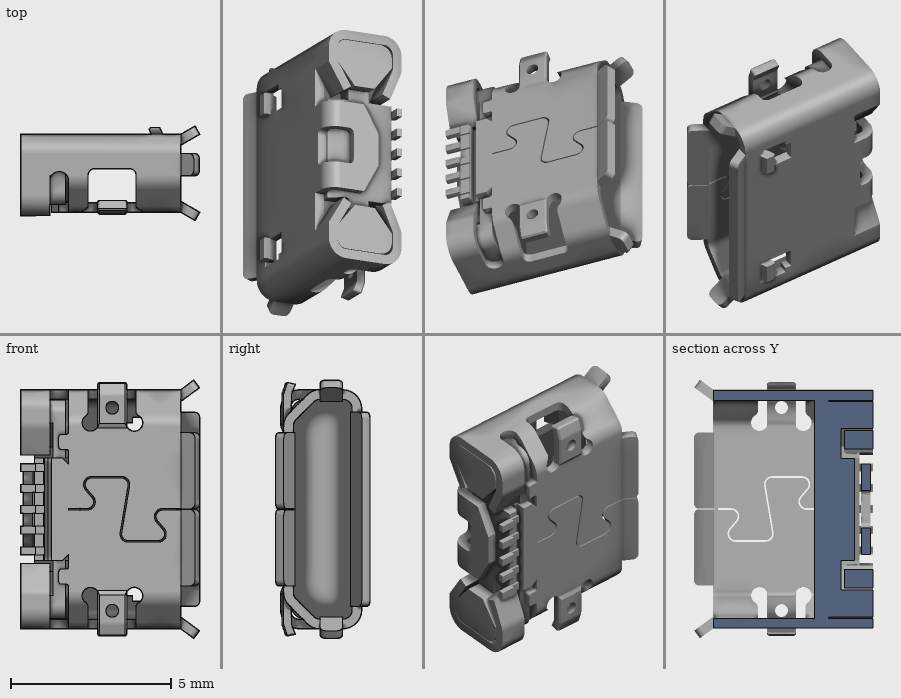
import cadquery as cq
import math


SHEET = 0.3
SHELL_LENGTH = 5.0
SHELL_DEPTH = 2.44
HALF_WIDTH = 3.735
BEVEL = 0.9
SHELL_RADIUS = 0.6
OVERSHOOT = 1.0

HOOK_LENGTH = 0.91
HOOK_FACE_Y = -0.1
HOOK_FRONT_BEND_Z = 2.6
HOOK_BACK_BEND_Z = 2.63
HOOK_FRONT_ANGLE = 23.3
HOOK_BACK_ANGLE = 31.0
HOOK_BEND_RADIUS = 0.5
HOOK_FRONT_TIP = (0.29, 1.69)
HOOK_BACK_TIP = (1.92, 1.755)
HOOK_TIP_CUT = 1.2 * SHEET

WALL_START = 1.5
WALL_TAB_LENGTH = 0.31
WALL_TAB_Z = (1.87, 2.34)
WALL_TAB_CORNER = 0.08
SIDE_SLOT_CORNER = 0.29
SIDE_SLOT_TOP = 1.27
WINDOW_START = 2.11
WINDOW_END = 3.6
WINDOW_TOP = 1.36
WINDOW_CORNER = 0.2
WINDOW_NECK_Z = 3.02
RELIEF_RADIUS = 0.26
RELIEF_Z = 2.7
RELIEF_X = (2.18, 3.55)
SEAM_GAP = 0.05
SEAM_CENTER_X = 3.255
SEAM_RADIUS = 0.23
SEAM_NECK = 0.68
SEAM_HEAD = 1.535
SEAM_LEAN = 0.168
SEAM_HEIGHT = 1.0

LEG_CENTER_X = 2.86
LEG_WIDTH = 0.91
LEG_FACE_Y = -0.06
LEG_ROOT_Z = 2.67
LEG_ROOT_SLOPE = 0.13
LEG_BEND_Z = 3.58
LEG_BEND_RADIUS = 0.3
LEG_TIP_Z = 3.97
LEG_TIP_CORNER = 0.08
LEG_TIP_LIFT = 0.13
LEG_HOLE_RADIUS = 0.2
LEG_HOLE_Z = 3.17
LEG_EDGE = 0.05

LATCH_Z = (2.03, 2.7)
LATCH_WINDOW_START = 3.3
LATCH_ROOT = 4.44
LATCH_TIP = 4.01
LATCH_RISE = 0.215
LATCH_SLANT = 0.1
LATCH_NOSE = 0.06
LATCH_WIDE_START = 3.5
LATCH_WIDE_Z = 2.87

LIP_LENGTH = 0.515
LIP_ANGLE = 30.0
SIDE_LIP_LENGTH = 0.505
SIDE_LIP_ANGLE = 36.5
LIP_CORNER = 0.18
BACK_LIP_HALF = 3.03
FRONT_LIP_START = 0.01
FRONT_LIP_END = 2.39
SIDE_LIP_CENTER_Y = 1.49
SIDE_LIP_WIDTH = 0.7

TAB_X = 0.08
TAB_HALF = 1.42
TAB_SHOULDER_Y = 1.17
TAB_END_Y = 0.67
TAB_END_HALF = 0.52
TAB_BEND_RADIUS = 0.47
TAB_SLOT_HALF = 0.58
TAB_SLOT_END = 0.75
TAB_SLOT_Y = 1.53
TAB_SLOT_CORNER = 0.15
BACK_WALL_START = 0.95

PLUG_END = 1.4
PLUG_FRONT_Y = 0.24
PLUG_RADIUS = 0.4
PLUG_CLEARANCE = 0.02
PLUG_WAIST_Z = 1.95
PLUG_WAIST_Y = (0.84, 1.53)
PLUG_TAPER_Z = 2.7
PLUG_STEP = 0.1
CORE_START = 0.43
CORE_END = 1.85
CORE_HALF = 1.6
CORE_FRONT_Y = 0.04
BLOCK_START = 0.96
PIN_SHANK_END = 0.75
TRENCH_STEPS = ((0.71, PIN_SHANK_END, 0.1), (PIN_SHANK_END, 0.85, 0.4), (0.85, BLOCK_START, 0.3))
REAR_CHAMFER = (0.25, 0.41)
BLOCK_NOTCH = 0.19
PIN_COUNT = 5
PIN_PITCH = 0.65
PIN_WIDTH = 0.25
PIN_LENGTH = 0.46
PIN_FACE_Y = -0.12
PIN_TOP_Y = 0.05
PIN_SHANK_Y = -0.02


def rounded_outline(plane, corners):
    """Closed outline through (u, v, radius) corners; each radius becomes a tangent arc."""
    steps = []
    for i, (u, v, radius) in enumerate(corners):
        here = cq.Vector(u, v, 0)
        before = cq.Vector(*corners[i - 1][:2], 0)
        after = cq.Vector(*corners[(i + 1) % len(corners)][:2], 0)
        to_before = (before - here).normalized()
        to_after = (after - here).normalized()
        half_angle = to_before.getAngle(to_after) / 2
        if radius == 0:
            steps.append((here, None, here))
            continue
        reach = radius / math.tan(half_angle)
        bisector = (to_before + to_after).normalized()
        middle = here + bisector * (radius / math.sin(half_angle) - radius)
        steps.append((here + to_before * reach, middle, here + to_after * reach))
    outline = cq.Workplane(plane).moveTo(*steps[0][2].toTuple()[:2])
    for start, middle, end in steps[1:] + steps[:1]:
        outline = outline.lineTo(*start.toTuple()[:2])
        if middle is not None:
            outline = outline.threePointArc(middle.toTuple()[:2], end.toTuple()[:2])
    return outline.close()


def block(x0, x1, y0, y1, z0, z1):
    return cq.Workplane("XY").box(x1 - x0, y1 - y0, z1 - z0, centered=False).translate((x0, y0, z0))


def both_ends(solid):
    """The solid together with its mirror image across Z = 0."""
    return solid.union(solid.mirror("XY"))


def shell_profile():
    half = [
        (0, HALF_WIDTH - BEVEL, SHELL_RADIUS),
        (BEVEL, HALF_WIDTH, SHELL_RADIUS),
        (SHELL_DEPTH, HALF_WIDTH, SHELL_RADIUS),
    ]
    return rounded_outline("YZ", half + [(y, -z, r) for y, z, r in reversed(half)])


def shell_filling(x0, x1):
    """Solid that fills the inside of the shell between two X positions."""
    return shell_profile().offset2D(-SHEET).extrude(x1 - x0).translate((x0, 0, 0))


def shell_tube():
    length = SHELL_LENGTH - HOOK_LENGTH
    tube = shell_profile().extrude(length).translate((HOOK_LENGTH, 0, 0))
    return tube.cut(shell_filling(HOOK_LENGTH, SHELL_LENGTH))


def rear_opening():
    """Removes the board-side wall behind WALL_START and leaves a round-ended slot in each side."""
    span = 2 * (HALF_WIDTH + OVERSHOOT)
    slot = block(HOOK_LENGTH, WALL_START, -OVERSHOOT, SIDE_SLOT_TOP, -span / 2, span / 2)
    slot = slot.edges("|Z and >Y").fillet(SIDE_SLOT_CORNER)
    wall = SHELL_DEPTH - SHEET
    back_gap = block(0, BACK_WALL_START, wall, SHELL_DEPTH, -HOOK_BACK_BEND_Z, HOOK_BACK_BEND_Z)
    return slot.union(back_gap)


def wall_tab():
    """Small locating tab on the rear edge of the board-side wall, blended into that edge."""
    start = WALL_START - WALL_TAB_LENGTH
    root = WALL_START + WALL_TAB_CORNER
    low, high = WALL_TAB_Z
    corners = [
        (root, low - 2 * WALL_TAB_CORNER, 0),
        (WALL_START, low - 2 * WALL_TAB_CORNER, 0),
        (WALL_START, low, WALL_TAB_CORNER),
        (start, low, WALL_TAB_CORNER),
        (start, high, WALL_TAB_CORNER),
        (WALL_START, high, WALL_TAB_CORNER),
        (WALL_START, high + 2 * WALL_TAB_CORNER, 0),
        (root, high + 2 * WALL_TAB_CORNER, 0),
    ]
    return rounded_outline("XZ", corners).extrude(-SHEET)


def leg_window():
    """Side window through bevel and side wall, narrowing out into round reliefs beside the leg."""
    window = block(WINDOW_START, WINDOW_END, -OVERSHOOT, WINDOW_TOP, WINDOW_NECK_Z, HALF_WIDTH + OVERSHOOT)
    window = window.edges("|Z and >Y").fillet(WINDOW_CORNER)
    neck = cq.Workplane("XZ").polyline([
        (WINDOW_START, WINDOW_NECK_Z),
        (RELIEF_X[0] - RELIEF_RADIUS, RELIEF_Z),
        (RELIEF_X[1] + RELIEF_RADIUS, RELIEF_Z),
        (WINDOW_END, WINDOW_NECK_Z),
    ]).close().extrude(-BEVEL)
    reliefs = cq.Workplane("XZ").pushPoints([(x, RELIEF_Z) for x in RELIEF_X])
    return window.union(neck).union(reliefs.circle(RELIEF_RADIUS).extrude(-2 * SHEET))


def leg():
    """Soldering leg: offset foot with a hole, tip bent away from the board, outer edges broken."""
    foot_top = LEG_FACE_Y + SHEET
    tip_y = LEG_FACE_Y + LEG_TIP_LIFT
    profile = [
        (LEG_FACE_Y, LEG_ROOT_Z, 0),
        (LEG_FACE_Y, LEG_BEND_Z, LEG_BEND_RADIUS),
        (tip_y, LEG_TIP_Z, 0),
        (tip_y + SHEET, LEG_TIP_Z - LEG_TIP_LIFT / 2, 0),
        (foot_top, LEG_BEND_Z, 0),
        (foot_top, LEG_ROOT_Z - SHEET, 0),
        (0, LEG_ROOT_Z - SHEET, 0),
        (0, LEG_ROOT_Z - LEG_ROOT_SLOPE, 0),
    ]
    body = rounded_outline("YZ", profile).extrude(LEG_WIDTH)
    body = body.translate((LEG_CENTER_X - LEG_WIDTH / 2, 0, 0))
    tip_corners = body.faces(">Z").edges("not |X")
    body = tip_corners.fillet(LEG_TIP_CORNER)
    outer_rim = cq.selectors.BoxSelector(
        (0, LEG_FACE_Y - LEG_EDGE, LEG_ROOT_Z + LEG_EDGE),
        (SHELL_LENGTH, tip_y + LEG_EDGE, LEG_TIP_Z + LEG_EDGE),
    )
    body = body.edges(outer_rim).chamfer(LEG_EDGE)
    hole = cq.Workplane("XZ").center(LEG_CENTER_X, LEG_HOLE_Z).circle(LEG_HOLE_RADIUS)
    return body.cut(hole.extrude(OVERSHOOT, both=True))


def seam():
    """Dovetail joint line where the two edges of the folded sheet meet."""
    first_half = [
        (SEAM_CENTER_X - SEAM_NECK, 0, SEAM_RADIUS),
        (SEAM_CENTER_X - SEAM_HEAD, SEAM_HEIGHT, SEAM_RADIUS),
        (SEAM_CENTER_X + SEAM_LEAN, SEAM_HEIGHT, SEAM_RADIUS),
    ]
    second_half = [(2 * SEAM_CENTER_X - x, -z, radius) for x, z, radius in reversed(first_half)]
    right = SHELL_LENGTH + OVERSHOOT
    top = HALF_WIDTH + OVERSHOOT
    frame = [(right, 0, 0), (right, top, 0), (-OVERSHOOT, top, 0), (-OVERSHOOT, 0, 0)]
    upper_side = first_half + second_half + frame
    widened = rounded_outline("XZ", upper_side).offset2D(SEAM_GAP / 2).extrude(-SHEET)
    narrowed = rounded_outline("XZ", upper_side).offset2D(-SEAM_GAP / 2).extrude(-SHEET)
    return widened.cut(narrowed)


def lip(width, length, angle):
    """Flared plate: outer root edge on the Z axis, leaning toward -Y, free corners rounded."""
    root = SHEET * math.tan(math.radians(angle))
    plate = block(-root, length, 0, SHEET, -width / 2, width / 2)
    plate = plate.edges("|Y and >X").fillet(LIP_CORNER)
    return plate.rotate((0, 0, 0), (0, 0, 1), -angle)


def mouth_lips():
    front = lip(FRONT_LIP_END - FRONT_LIP_START, LIP_LENGTH, LIP_ANGLE)
    front = front.translate((SHELL_LENGTH, 0, (FRONT_LIP_END + FRONT_LIP_START) / 2))
    side = lip(SIDE_LIP_WIDTH, SIDE_LIP_LENGTH, SIDE_LIP_ANGLE)
    side = side.rotate((0, 0, 0), (1, 0, 0), -90)
    side = side.translate((SHELL_LENGTH, SIDE_LIP_CENTER_Y, HALF_WIDTH))
    back = lip(2 * BACK_LIP_HALF, LIP_LENGTH, LIP_ANGLE).mirror("XZ")
    back = back.translate((SHELL_LENGTH, SHELL_DEPTH, 0))
    return both_ends(front.union(side)).union(back)


def hook():
    """Rear end of the shell wrapped around one end of the insert, open between its two arm tips."""
    front_angle = math.radians(HOOK_FRONT_ANGLE)
    back_angle = math.radians(HOOK_BACK_ANGLE)
    bend_step = (HOOK_BACK_BEND_Z - HOOK_FRONT_BEND_Z) * math.tan(back_angle)
    drop = (SHELL_DEPTH - HOOK_FACE_Y - bend_step) / (math.tan(front_angle) + math.tan(back_angle))
    corners = [
        (HOOK_FACE_Y, HOOK_FRONT_BEND_Z, HOOK_BEND_RADIUS),
        (HOOK_FACE_Y, HALF_WIDTH, SHELL_RADIUS),
        (SHELL_DEPTH, HALF_WIDTH, SHELL_RADIUS),
        (SHELL_DEPTH, HOOK_BACK_BEND_Z, 0),
        (HOOK_FACE_Y + drop * math.tan(front_angle), HOOK_FRONT_BEND_Z - drop, 0),
    ]
    ring = rounded_outline("YZ", corners).extrude(HOOK_LENGTH)
    ring = ring.cut(rounded_outline("YZ", corners).offset2D(-SHEET).extrude(HOOK_LENGTH))
    front_y, front_z = HOOK_FRONT_TIP
    back_y, back_z = HOOK_BACK_TIP
    front_dy = HOOK_TIP_CUT * math.cos(front_angle)
    front_dz = HOOK_TIP_CUT * math.sin(front_angle)
    back_dy = HOOK_TIP_CUT * math.cos(back_angle)
    back_dz = HOOK_TIP_CUT * math.sin(back_angle)
    gap = [
        (front_y - front_dy, front_z - front_dz),
        (front_y + front_dy, front_z + front_dz),
        (back_y - back_dy, back_z + back_dz),
        (back_y + back_dy, back_z - back_dz),
        (back_y + back_dy, -OVERSHOOT),
        (front_y - front_dy, -OVERSHOOT),
    ]
    return ring.cut(cq.Workplane("YZ").polyline(gap).close().extrude(HOOK_LENGTH))


def cover_tab():
    """Tongue of the back wall folded down over the contact end, with a slot through the fold."""
    side = [
        (BACK_WALL_START + SHEET, SHELL_DEPTH, 0),
        (TAB_X, SHELL_DEPTH, TAB_BEND_RADIUS),
        (TAB_X, TAB_END_Y, 0),
        (TAB_X + SHEET, TAB_END_Y, 0),
        (TAB_X + SHEET, SHELL_DEPTH - SHEET, TAB_BEND_RADIUS - SHEET),
        (BACK_WALL_START + SHEET, SHELL_DEPTH - SHEET, 0),
    ]
    folded = rounded_outline("XY", side).extrude(2 * TAB_HALF).translate((0, 0, -TAB_HALF))
    shape = [
        (SHELL_DEPTH, TAB_HALF), (TAB_SHOULDER_Y, TAB_HALF), (TAB_END_Y, TAB_END_HALF),
        (TAB_END_Y, -TAB_END_HALF), (TAB_SHOULDER_Y, -TAB_HALF), (SHELL_DEPTH, -TAB_HALF),
    ]
    outline = cq.Workplane("YZ").polyline(shape).close().extrude(2 * SHELL_LENGTH)
    slot = block(0, TAB_SLOT_END, TAB_SLOT_Y, SHELL_DEPTH, -TAB_SLOT_HALF, TAB_SLOT_HALF)
    slot = slot.edges("(|X and <Y) or (|Y and >X)").fillet(TAB_SLOT_CORNER)
    return folded.intersect(outline).cut(slot)


def latch_window():
    """Opening in the back wall around the latch, with a wider end beside its free tip."""
    wall = SHELL_DEPTH - SHEET
    narrow = block(LATCH_WINDOW_START, LATCH_ROOT, wall, SHELL_DEPTH, *LATCH_Z)
    wide = block(LATCH_WIDE_START, LATCH_ROOT, wall, SHELL_DEPTH, LATCH_Z[0], LATCH_WIDE_Z)
    return narrow.union(wide)


def latch():
    """Spring latch lifted out of the back wall, rooted at its mouth end."""
    wall = SHELL_DEPTH - SHEET
    crest = SHELL_DEPTH + LATCH_RISE
    side = [
        (LATCH_ROOT + LATCH_SLANT, wall),
        (LATCH_ROOT + LATCH_SLANT, SHELL_DEPTH),
        (LATCH_ROOT, SHELL_DEPTH),
        (LATCH_ROOT - LATCH_SLANT, crest),
        (LATCH_TIP + LATCH_NOSE, crest),
        (LATCH_TIP, crest - LATCH_NOSE),
        (LATCH_TIP + LATCH_NOSE, SHELL_DEPTH),
        (LATCH_ROOT - 2 * LATCH_SLANT, wall),
    ]
    height = LATCH_Z[1] - LATCH_Z[0]
    return cq.Workplane("XY").polyline(side).close().extrude(height).translate((0, 0, LATCH_Z[0]))


def shell():
    body = shell_tube().cut(rear_opening()).cut(seam())
    body = body.cut(both_ends(leg_window().union(latch_window())))
    body = body.union(both_ends(wall_tab().union(leg()).union(latch()).union(hook())))
    return body.union(mouth_lips()).union(cover_tab())


def plug():
    """One end of the insert, held inside a hook and tapering to a waist."""
    back = SHELL_DEPTH - SHEET
    top = HALF_WIDTH - SHEET - PLUG_CLEARANCE
    corners = [
        (PLUG_FRONT_Y, PLUG_TAPER_Z, 0),
        (PLUG_FRONT_Y, top, PLUG_RADIUS),
        (back, top, SHELL_RADIUS - SHEET),
        (back, PLUG_TAPER_Z, 0),
        (PLUG_WAIST_Y[1], PLUG_WAIST_Z, 0),
        (PLUG_WAIST_Y[0], PLUG_WAIST_Z, 0),
    ]
    head = rounded_outline("YZ", corners).extrude(PLUG_END)
    waist = block(CORE_START, PLUG_END, *PLUG_WAIST_Y, 0, PLUG_TAPER_Z)
    rear = block(HOOK_LENGTH + PLUG_STEP, PLUG_END, PLUG_FRONT_Y, back, 0, PLUG_TAPER_Z)
    return head.union(waist).union(rear)


def insert():
    back = SHELL_DEPTH - SHEET
    body = both_ends(plug()).union(shell_filling(PLUG_END, CORE_END))
    core = block(CORE_START, PLUG_END, CORE_FRONT_Y, back, -CORE_HALF, CORE_HALF)
    chamfer_x, chamfer_y = REAR_CHAMFER
    wedge = cq.Workplane("XY").polyline([
        (CORE_START, back), (CORE_START + chamfer_x, back), (CORE_START, back - chamfer_y),
    ]).close().extrude(CORE_HALF, both=True)
    core = core.cut(wedge)
    body = body.union(core).union(block(BLOCK_START, WALL_START, 0, SHEET, -CORE_HALF, CORE_HALF))
    for x0, x1, floor in TRENCH_STEPS:
        body = body.cut(block(x0, x1, 0, floor, -CORE_HALF, CORE_HALF))
    notch = cq.Workplane("XZ").polyline([
        (WALL_START - BLOCK_NOTCH, CORE_HALF), (WALL_START, CORE_HALF), (WALL_START, CORE_HALF - BLOCK_NOTCH),
    ]).close().extrude(-PLUG_FRONT_Y)
    return body.cut(both_ends(notch))


def contacts():
    pins = cq.Workplane("XY")
    for i in range(PIN_COUNT):
        z = (i - (PIN_COUNT - 1) / 2) * PIN_PITCH - PIN_WIDTH / 2
        pins = pins.union(block(0, PIN_LENGTH, PIN_FACE_Y, PIN_TOP_Y, z, z + PIN_WIDTH))
        pins = pins.union(block(0, PIN_SHANK_END, PIN_SHANK_Y, PIN_TOP_Y, z, z + PIN_WIDTH))
    return pins


result = shell().union(insert()).union(contacts())